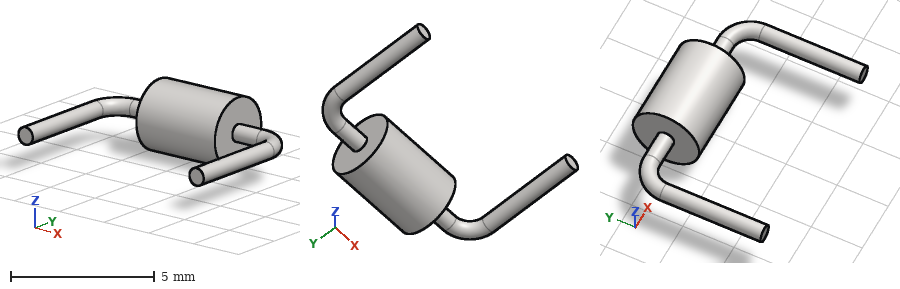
import cadquery as cq

overall_width = 8.27
overall_depth = 6.2
body_diameter = 2.6
body_length = 3.51
wire_diameter = 0.645
bend_radius = 0.975

leg_x = (overall_width - wire_diameter) / 2
leg_end_y = body_diameter / 2 - overall_depth
bend_start_x = leg_x - bend_radius


def make_body():
    start_face = cq.Workplane("YZ", origin=(-body_length / 2, 0, 0))
    return start_face.circle(body_diameter / 2).extrude(body_length)


def make_lead():
    """Continuous round wire through the body, bent towards -Y at both ends."""
    path = (
        cq.Workplane("XY")
        .moveTo(-leg_x, leg_end_y)
        .lineTo(-leg_x, -bend_radius)
        .tangentArcPoint((-bend_start_x, 0), relative=False)
        .lineTo(bend_start_x, 0)
        .tangentArcPoint((leg_x, -bend_radius), relative=False)
        .lineTo(leg_x, leg_end_y)
    )
    leg_end = cq.Plane(origin=(-leg_x, leg_end_y, 0), xDir=(1, 0, 0), normal=(0, 1, 0))
    return cq.Workplane(leg_end).circle(wire_diameter / 2).sweep(path)


result = make_body().union(make_lead())